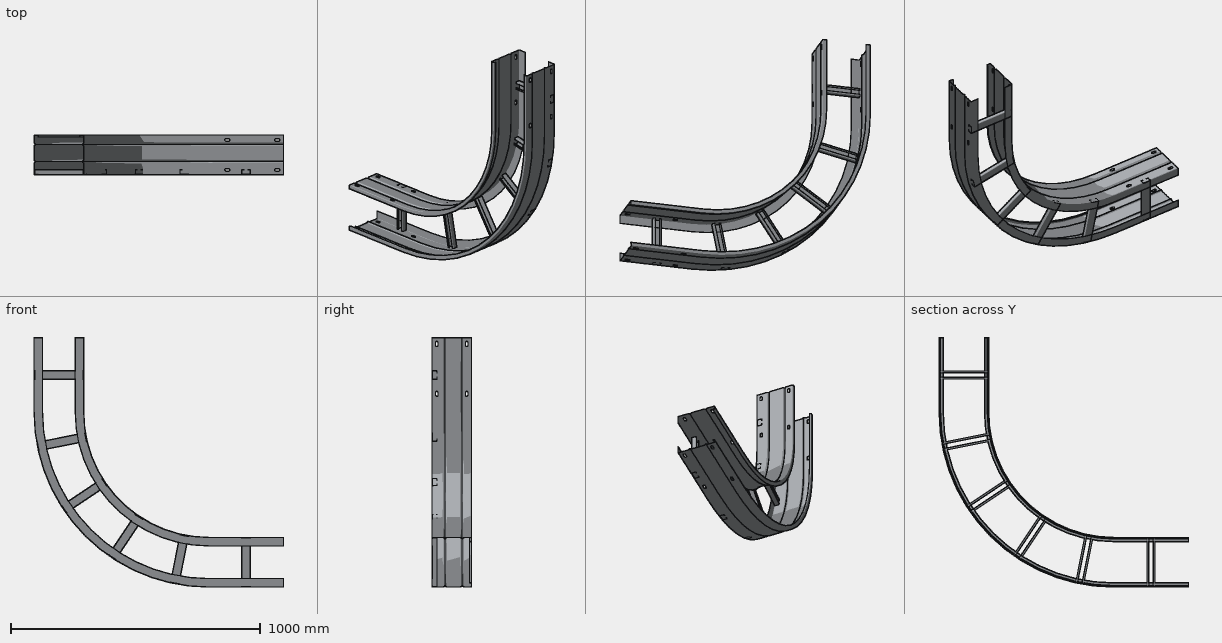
import cadquery as cq
import math

overall = 1000.0
height = 160.0
rail_spacing = 200.0
straight = 300.0
bend_center = overall - straight

sheet = 1.5

rail_bend_radius = 3.5
front_flange = 35.0
rear_flange = 18.0
rear_lip = 8.0
groove_centers = (53.0, 122.0)
groove_bend_radius = 6.0
groove_opening = 12.0
groove_depth = 5.0

slot_length = 20.0
slot_width = 9.0
slot_edge_offset = 20.0
slot_end_offsets = (25.0, 225.0)

rung_bend_radius = 3.0
rung_width = 35.0
rung_depth = 20.0
rung_lip = 9.0
straight_rung_offset = 150.0
curved_rung_count = 4


def bent_sheet(points, bends):
    """Face of a sheet strip with one side on `points` and its thickness to the left of them.

    `bends` maps the index of a corner that turns left to its outside bend radius.
    The other corners stay sharp.
    """
    corners = [cq.Vector(*point) for point in points]
    normals = []
    for start, end in zip(corners, corners[1:]):
        along = (end - start).normalized()
        normals.append(cq.Vector(-along.y, along.x))
    before = normals[:1] + normals
    after = normals + normals[-1:]
    offset_corners = [
        corner + (a + b) * (sheet / (1 + a.dot(b)))
        for corner, a, b in zip(corners, before, after)
    ]
    face = cq.Face.makeFromWires(cq.Wire.makePolygon(corners + offset_corners[::-1], close=True))
    for index, radius in bends.items():
        face = round_corner(face, corners[index], radius)
        face = round_corner(face, offset_corners[index], radius - sheet)
    return face


def round_corner(face, corner, radius):
    """Round the corner of the face that lies at the given point."""
    nearest = min(face.Vertices(), key=lambda vertex: (vertex.Center() - corner).Length)
    return face.fillet2D(radius, [nearest])


def rail_section():
    """Rail section with the web face on x = 0 and the channel open towards +X."""
    points = [(rear_flange, height - rear_lip), (rear_flange, height), (0, height)]
    bends = {1: rail_bend_radius, 2: rail_bend_radius}
    for center in sorted(groove_centers, reverse=True):
        bends[len(points)] = groove_bend_radius
        bends[len(points) + 2] = groove_bend_radius
        points += [
            (0, center + groove_opening / 2),
            (groove_depth, center),
            (0, center - groove_opening / 2),
        ]
    bends[len(points)] = rail_bend_radius
    points += [(0, 0), (front_flange, 0)]
    return bent_sheet(points, bends)


def slot_cutters(web_position):
    """Slots through a rail whose web is `web_position` from the outer rail's web."""
    web_span = groove_depth + rail_bend_radius
    cutters = []
    for y in (slot_edge_offset, height - slot_edge_offset):
        for offset in slot_end_offsets:
            cutters.append(
                cq.Workplane("YZ", origin=(web_position, y, overall - offset))
                .slot2D(slot_length, slot_width, 90)
                .extrude(web_span, both=True)
            )
            cutters.append(
                cq.Workplane("XY", origin=(overall - offset, y, web_position))
                .slot2D(slot_length, slot_width, 0)
                .extrude(web_span, both=True)
            )
    return cutters


def make_rail(section, web_position):
    """Sweep the section down the upright run, round the bend and along the level run."""
    reach = bend_center - web_position
    diagonal = bend_center - reach * math.sqrt(0.5)
    upright = cq.Edge.makeLine(
        cq.Vector(web_position, 0, overall), cq.Vector(web_position, 0, bend_center)
    )
    bend = cq.Edge.makeThreePointArc(
        cq.Vector(web_position, 0, bend_center),
        cq.Vector(diagonal, 0, diagonal),
        cq.Vector(bend_center, 0, web_position),
    )
    level = cq.Edge.makeLine(
        cq.Vector(bend_center, 0, web_position), cq.Vector(overall, 0, web_position)
    )
    path = cq.Wire.assembleEdges([upright, bend, level])
    placed = section.translate(cq.Vector(web_position, 0, overall))
    rail = cq.Workplane(cq.Solid.sweep(placed.outerWire(), [], path))
    for cutter in slot_cutters(web_position):
        rail = rail.cut(cutter)
    return rail.val()


def make_rung():
    """Lipped channel along +X from the outer rail to the inner rail, open to the rear."""
    half = rung_width / 2
    front = sheet
    rear = front + rung_depth
    points = [
        (rear, half - rung_lip),
        (rear, half),
        (front, half),
        (front, -half),
        (rear, -half),
        (rear, rung_lip - half),
    ]
    section = bent_sheet(points, {index: rung_bend_radius for index in (1, 2, 3, 4)})
    outer_gap = bend_center - math.sqrt((bend_center - rail_bend_radius) ** 2 - half**2)
    length = rail_spacing - outer_gap - rail_bend_radius
    placed = section.moved(cq.Location(cq.Plane.YZ((outer_gap, 0, 0))))
    return cq.Solid.extrudeLinear(placed.outerWire(), [], cq.Vector(length, 0, 0))


outer_rail = make_rail(rail_section(), 0)
inner_rail = make_rail(rail_section().mirror("YZ"), rail_spacing)

rung = make_rung()
rungs = [
    rung.translate(cq.Vector(0, 0, overall - straight_rung_offset)),
    rung.rotate(cq.Vector(0, 0, 0), cq.Vector(0, 1, 0), -90).translate(
        cq.Vector(overall - straight_rung_offset, 0, 0)
    ),
]
bend_axis_start = cq.Vector(bend_center, 0, bend_center)
bend_axis_end = cq.Vector(bend_center, 10, bend_center)
bend_rung = rung.translate(cq.Vector(0, 0, bend_center))
rung_step = 90 / curved_rung_count
for index in range(curved_rung_count):
    angle = -(index + 0.5) * rung_step
    rungs.append(bend_rung.rotate(bend_axis_start, bend_axis_end, angle))

result = cq.Compound.makeCompound([outer_rail, inner_rail, *rungs])